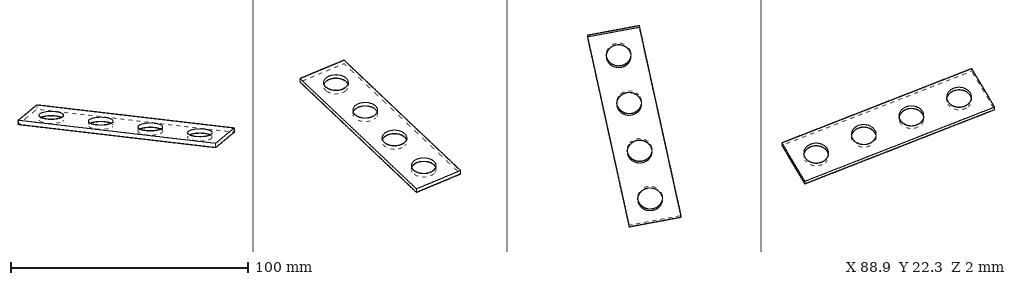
import cadquery as cq

length = 88.9
width = 22.3
thickness = 2.0

hole_diameter = 10.4
hole_count = 4
hole_pitch = 22.3
first_hole_from_end = 10.7

first_hole_x = -length / 2 + first_hole_from_end
hole_centres = [(first_hole_x + i * hole_pitch, 0) for i in range(hole_count)]

strip = cq.Workplane("XY").box(length, width, thickness)

result = (
    strip.faces(">Z")
    .workplane(origin=(0, 0, 0))
    .pushPoints(hole_centres)
    .hole(hole_diameter)
)